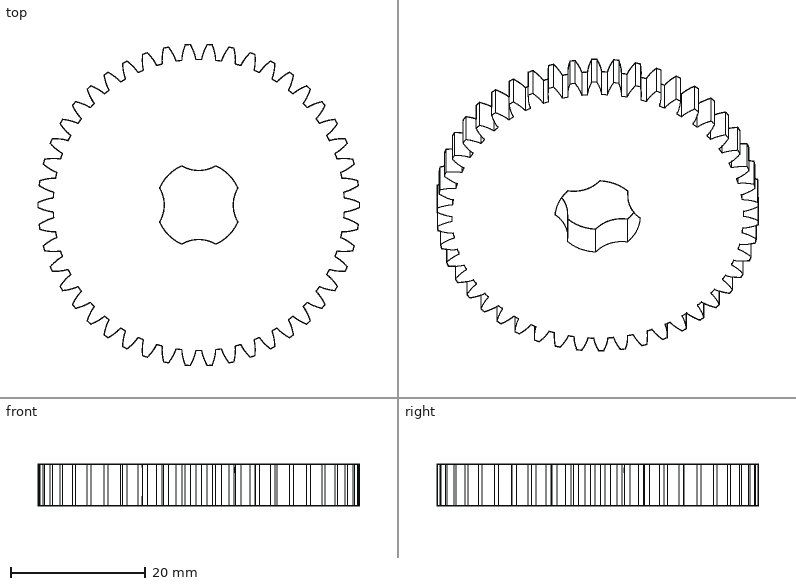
import cadquery as cq
import math

MODULE = 1.0
TOOTH_COUNT = 46
PRESSURE_ANGLE = math.radians(20)
DEDENDUM_FACTOR = 1.25
FACE_WIDTH = 6.25
FLANK_POINT_COUNT = 6

PITCH_RADIUS = MODULE * TOOTH_COUNT / 2
TIP_RADIUS = PITCH_RADIUS + MODULE
ROOT_RADIUS = PITCH_RADIUS - DEDENDUM_FACTOR * MODULE
BASE_RADIUS = PITCH_RADIUS * math.cos(PRESSURE_ANGLE)
TOOTH_PITCH_ANGLE = 2 * math.pi / TOOTH_COUNT

BORE_RADIUS = 6.35
LOBE_COUNT = 4
FULL_TURN = 360
LOBE_RADIUS = 5.0
LOBE_INNER_DISTANCE = 5.13
LOBE_CENTER_DISTANCE = LOBE_INNER_DISTANCE + LOBE_RADIUS


def polar(radius, angle):
    return (radius * math.cos(angle), radius * math.sin(angle))


def involute(angle):
    return math.tan(angle) - angle


def half_tooth_angle(radius):
    """Half the angle that one tooth spans at the given radius."""
    local_pressure_angle = math.acos(BASE_RADIUS / radius)
    return TOOTH_PITCH_ANGLE / 4 + involute(PRESSURE_ANGLE) - involute(local_pressure_angle)


def flank_points(tooth_angle, side):
    """Points up one involute flank, root to tip; side is -1 or +1."""
    radius_step = (TIP_RADIUS - ROOT_RADIUS) / (FLANK_POINT_COUNT - 1)
    radii = [ROOT_RADIUS + i * radius_step for i in range(FLANK_POINT_COUNT)]
    return [polar(r, tooth_angle + side * half_tooth_angle(r)) for r in radii]


def make_toothed_blank():
    root_half_angle = half_tooth_angle(ROOT_RADIUS)
    outline = cq.Workplane("XY").moveTo(*polar(ROOT_RADIUS, -root_half_angle))
    for tooth in range(TOOTH_COUNT):
        tooth_angle = tooth * TOOTH_PITCH_ANGLE
        rising = flank_points(tooth_angle, -1)
        falling = flank_points(tooth_angle, 1)[::-1]
        gap_middle = polar(ROOT_RADIUS, tooth_angle + TOOTH_PITCH_ANGLE / 2)
        gap_end = polar(ROOT_RADIUS, tooth_angle + TOOTH_PITCH_ANGLE - root_half_angle)
        outline = (
            outline.spline(rising[1:], includeCurrent=True)
            .threePointArc(polar(TIP_RADIUS, tooth_angle), falling[0])
            .spline(falling[1:], includeCurrent=True)
            .threePointArc(gap_middle, gap_end)
        )
    return outline.close().extrude(FACE_WIDTH)


def make_bore():
    bore = cq.Workplane("XY").circle(BORE_RADIUS).extrude(FACE_WIDTH)
    lobes = (
        cq.Workplane("XY")
        .polarArray(LOBE_CENTER_DISTANCE, 0, FULL_TURN, LOBE_COUNT)
        .circle(LOBE_RADIUS)
        .extrude(FACE_WIDTH)
    )
    return bore.cut(lobes)


result = make_toothed_blank().cut(make_bore())